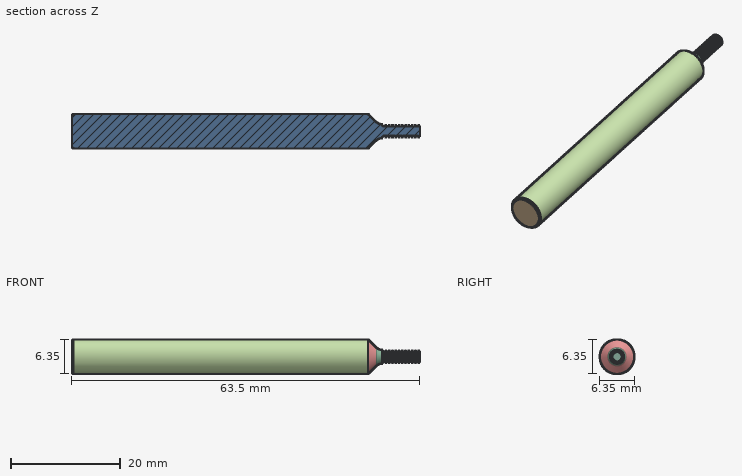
import cadquery as cq

total_length = 63.5
body_radius = 6.35 / 2
body_length = 54.02
end_chamfer = 0.25

cone_length = 1.5
arc_length = 0.98
arc_sag = 0.08
collar_radius = 1.28

ridge_count = 11
ridge_pitch = 0.597
crest_width = 0.05
flank_length = 0.175
tip_land = 0.08
ridge_radius = 1.14
root_radius = 0.865

cone_end = body_length + cone_length
cone_end_radius = body_radius - cone_length
collar_x = cone_end + arc_length
root_width = ridge_pitch - crest_width - 2 * flank_length
stud_start = total_length - tip_land - ridge_count * ridge_pitch


def add_body(profile):
    """Trace the chamfered body, the cone and the concave neck."""
    return (
        profile.lineTo(0, body_radius - end_chamfer)
        .lineTo(end_chamfer, body_radius)
        .lineTo(body_length, body_radius)
        .lineTo(cone_end, cone_end_radius)
        .sagittaArc((collar_x, collar_radius), -arc_sag)
    )


def add_ridge(profile):
    """Trace one pitch of the stud: a flat groove root, then a ridge."""
    depth = ridge_radius - root_radius
    return (
        profile.line(root_width, 0)
        .line(flank_length, depth)
        .line(crest_width, 0)
        .line(flank_length, -depth)
    )


outline = add_body(cq.Workplane("XZ").moveTo(0, 0))
outline = outline.lineTo(stud_start, root_radius)
for _ in range(ridge_count):
    outline = add_ridge(outline)
outline = outline.lineTo(total_length, root_radius).lineTo(total_length, 0).close()

result = outline.revolve(360, (0, 0, 0), (1, 0, 0))